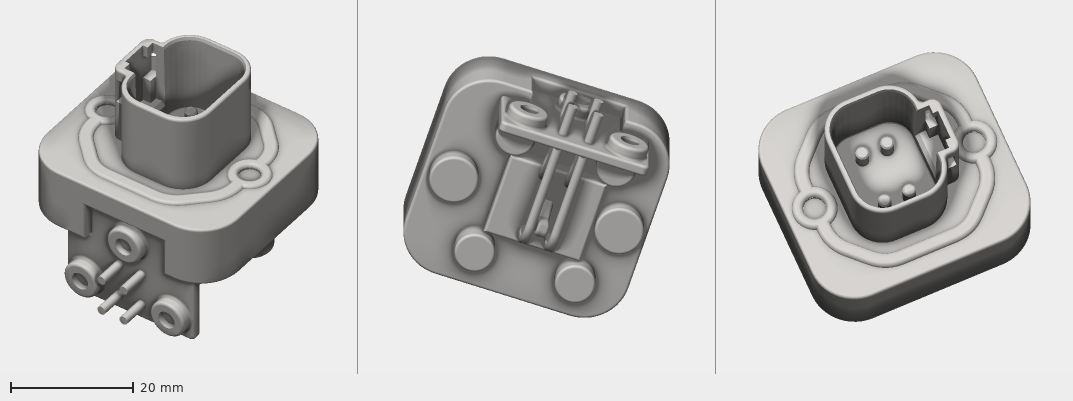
import cadquery as cq
import math

TOTAL_Y = 38.6
TOTAL_Z = 39.5

FLANGE_X = 38.35
FLANGE_Y = 35.3
FLANGE_HEIGHT = 11.57
FLANGE_CORNER = 7.6
EDGE_ROUND = 0.47

PICK = 0.4

AXIS_X = 1.55
SOCKET_TOP = 14.65
SOCKET_X = 16.65
SOCKET_Y = 20.85
SOCKET_CORNER = 5.6
RIM_WALL = 0.83
LEAD_IN = 0.2
LEAD_IN_DEPTH = 0.55
DRAFT = 0.3
FLOOR_BEVEL = 0.15
RIM_ROUND = 0.5
CAVITY_FLOOR = 0.0

KEY_OUTER_X = -9.9
KEY_HALF_WIDTH = 5.05
KEY_CORNER = 1.65
KEY_ROOT_ROUND = 0.7
KEY_FLOOR = 3.15
KEY_FLOOR_END_X = -6.2
KEY_FLOOR_SLOPE = 0.8
KEY_BACK_X = -8.9
KEY_NARROW_HALF = 2.53
KEY_WIDE_HALF = 4.03
KEY_LIP_X = -7.98
KEY_STEP_X = -7.35
WINDOW_BOTTOM = 7.85
WINDOW_TOP = 12.52

BEAD_HALF_X = 15.52
BEAD_HALF_Y = 14.8
BEAD_DIAGONAL = 22.8
BEAD_BEND = 7.65
BEAD_WIDTH = 2.6
BEAD_HEIGHT = 0.6
BEAD_ROUND = 0.83
BEAD_SUNK = 0.8

RING_X = 14.25
RING_RADIUS = 3.8
DIMPLE_RADIUS = 1.85
DIMPLE_FLOOR = -0.4

END_FOOT_RADIUS = 4.03
END_FOOT_LENGTH = 3.12
FOOT_RADIUS = 3.3
FOOT_LENGTH = 4.2
FOOT_Y = 10.65
SLAB_X = 16.6
SLAB_Y = 14.05

PLATE_BACK_Y = -13.95
PLATE_THICKNESS = 1.8
PLATE_CORNER = 0.6
PLATE_FOOT_CORNER = 1.03
PLATE_WIDTH = 25.5
PLATE_TOP = -5.05
PLATE_SHOULDER = -11.93
PLATE_BOTTOM = SOCKET_TOP - TOTAL_Z
NECK_WIDTH = 15.88
SLOT_TOP = -4.55

STUD_RADIUS = 3.35
STUD_END_Y = -17.8
STUD_ROUND = 0.55
STUD_FLARE = 0.45
STUD_HOLE_RADIUS = 1.6
STUD_HOLE_DEPTH = 1.2
STUD_SPREAD = 8.65
UPPER_STUD_Z = -9.4
LOWER_STUD_Z = -20.78

PIN_RADIUS = 0.8
PIN_END_Y = FLANGE_Y / 2 - TOTAL_Y
PIN_BEND = 3.35
PIN_HALF_PITCH_X = 2.2
PIN_HALF_PITCH_Y = 4.5
UPPER_PIN_Z = -15.5
LOWER_PIN_Z = -21.85
CONTACT_RADIUS = 1.1
CONTACT_TOP = 3.55
CONTACT_CHAMFER = 0.28

RIB_THICKNESS = 1.98
RIB_BACK_Y = 3.2
RIB_FRONT_Y = 0.67
RIB_ROOT_Y = -1.58
RIB_SLOPE_END = -16.83
RIB_BOTTOM = -20.95
RIB_CORNER = 1.58
RIB_ROUND = 0.47

FLANGE_BOTTOM = -FLANGE_HEIGHT
FLANGE_FRONT_Y = -FLANGE_Y / 2
PLATE_FRONT_Y = PLATE_BACK_Y - PLATE_THICKNESS
SLAB_BOTTOM = FLANGE_BOTTOM - END_FOOT_LENGTH


def block(x_range, y_range, z_range):
    """Box between two corners."""
    sizes = [high - low for low, high in (x_range, y_range, z_range)]
    corner = (x_range[0], y_range[0], z_range[0])
    return cq.Workplane("XY").box(*sizes, centered=False).translate(corner)


def disc(x, y, radius, bottom, top):
    """Upright cylinder."""
    return cq.Workplane("XY", origin=(x, y, bottom)).circle(radius).extrude(top - bottom)


def flange():
    """Rounded block with the plate slot in its -Y wall."""
    body = cq.Workplane("XY").box(FLANGE_X, FLANGE_Y, FLANGE_HEIGHT, centered=(True, True, False))
    body = body.translate((0, 0, FLANGE_BOTTOM)).edges("|Z").fillet(FLANGE_CORNER)
    slot_left = AXIS_X - NECK_WIDTH / 2
    slot_right = AXIS_X + NECK_WIDTH / 2
    slot = block((slot_left, slot_right), (FLANGE_FRONT_Y, PLATE_BACK_Y), (FLANGE_BOTTOM, SLOT_TOP))
    body = body.cut(slot).faces(">Z").edges().fillet(EDGE_ROUND)
    slot_mouth = cq.selectors.BoxSelector(
        (slot_left - PICK, FLANGE_FRONT_Y - PICK, FLANGE_BOTTOM + PICK),
        (slot_right + PICK, FLANGE_FRONT_Y + PICK, SLOT_TOP + PICK),
    )
    slot_back = cq.selectors.BoxSelector(
        (slot_left - PICK, FLANGE_FRONT_Y + PICK, FLANGE_BOTTOM - PICK),
        (slot_right + PICK, PLATE_BACK_Y + PICK, FLANGE_BOTTOM + PICK),
    )
    lower_edges = body.faces("<Z").edges()
    inner_edges = lower_edges.edges(slot_back).vals()
    outer_edges = [edge for edge in lower_edges.vals() if edge not in inner_edges]
    return body.edges(slot_mouth).add(outer_edges).fillet(EDGE_ROUND)


def bead_loop(inset):
    """Solid eight-sided prism with rounded corners, moved inwards by inset."""
    half_x = BEAD_HALF_X - inset
    half_y = BEAD_HALF_Y - inset
    diagonal = BEAD_DIAGONAL - inset * math.sqrt(2)
    quarter = [(half_x, diagonal - half_x), (diagonal - half_y, half_y)]
    upper = quarter + [(-x, y) for x, y in reversed(quarter)]
    lower = [(-x, -y) for x, y in upper]
    prism = cq.Workplane("XY", origin=(0, 0, -BEAD_SUNK)).polyline(upper + lower).close()
    return prism.extrude(BEAD_SUNK + BEAD_HEIGHT).edges("|Z").fillet(BEAD_BEND - inset)


def seal():
    """Rounded bead loop and the two dimpled rings, sunk into the flange top."""
    bead = bead_loop(0).cut(bead_loop(BEAD_WIDTH)).faces(">Z").edges().fillet(BEAD_ROUND)
    for x in (-RING_X, RING_X):
        bead = bead.cut(disc(x, 0, DIMPLE_RADIUS + BEAD_ROUND, -BEAD_SUNK, BEAD_HEIGHT))
        ring = disc(x, 0, RING_RADIUS, -BEAD_SUNK, BEAD_HEIGHT)
        ring = ring.cut(disc(x, 0, DIMPLE_RADIUS, -BEAD_SUNK, BEAD_HEIGHT))
        bead = bead.union(ring.faces(">Z").edges().fillet(BEAD_ROUND))
    return bead


def dimples():
    """Shallow round pockets inside the rings."""
    pockets = disc(-RING_X, 0, DIMPLE_RADIUS, DIMPLE_FLOOR, BEAD_HEIGHT)
    return pockets.union(disc(RING_X, 0, DIMPLE_RADIUS, DIMPLE_FLOOR, BEAD_HEIGHT))


def socket():
    """Outside of the keyed shell, with a rounded rim."""
    shell = cq.Workplane("XY").box(SOCKET_X, SOCKET_Y, SOCKET_TOP, centered=(True, True, False))
    shell = shell.translate((AXIS_X, 0, 0)).edges("|Z").fillet(SOCKET_CORNER)
    key = block((KEY_OUTER_X, AXIS_X), (-KEY_HALF_WIDTH, KEY_HALF_WIDTH), (0, SOCKET_TOP))
    shell = shell.union(key.edges("|Z and <X").fillet(KEY_CORNER))
    roots = cq.selectors.BoxSelector(
        (KEY_OUTER_X + KEY_CORNER + PICK, -KEY_HALF_WIDTH - PICK, 0),
        (AXIS_X - SOCKET_X / 2 + PICK, KEY_HALF_WIDTH + PICK, SOCKET_TOP),
    )
    shell = shell.edges("|Z").edges(roots).fillet(KEY_ROOT_ROUND)
    return shell.faces(">Z").edges().fillet(RIM_ROUND)


def tapered_opening(wall, narrowing, top, bottom):
    """Rounded prism inside the socket that narrows by the given amount per side towards its bottom."""
    depth = top - bottom
    opening = cq.Sketch().rect(SOCKET_X - 2 * wall, SOCKET_Y - 2 * wall)
    opening = opening.vertices().fillet(SOCKET_CORNER - wall)
    top_plane = cq.Workplane("XY", origin=(AXIS_X, 0, top))
    return top_plane.placeSketch(opening).extrude(-depth, taper=math.degrees(math.atan(narrowing / depth)))


def socket_cavity():
    """Tapered main cavity, stepped key cavity and the window across the key."""
    lead_in = tapered_opening(RIM_WALL, LEAD_IN, SOCKET_TOP, SOCKET_TOP - LEAD_IN_DEPTH)
    cavity = tapered_opening(RIM_WALL + LEAD_IN, DRAFT, SOCKET_TOP - LEAD_IN_DEPTH, CAVITY_FLOOR)
    cavity = cavity.faces("<Z").edges().chamfer(FLOOR_BEVEL).union(lead_in)

    narrow = (-KEY_NARROW_HALF, KEY_NARROW_HALF)
    wide = (-KEY_WIDE_HALF, KEY_WIDE_HALF)
    across = (-KEY_HALF_WIDTH, KEY_HALF_WIDTH)
    cavity = cavity.union(block((KEY_BACK_X, AXIS_X), narrow, (KEY_FLOOR, SOCKET_TOP)))
    sloped_floor = [
        (KEY_STEP_X, KEY_FLOOR),
        (KEY_FLOOR_END_X, KEY_FLOOR),
        (KEY_FLOOR_END_X + KEY_FLOOR_SLOPE, KEY_FLOOR - KEY_FLOOR_SLOPE),
        (AXIS_X, KEY_FLOOR - KEY_FLOOR_SLOPE),
        (AXIS_X, SOCKET_TOP),
        (KEY_STEP_X, SOCKET_TOP),
    ]
    key_cavity = cq.Workplane("XZ").polyline(sloped_floor).close().extrude(KEY_WIDE_HALF, both=True)
    cavity = cavity.union(key_cavity)
    cavity = cavity.union(block((KEY_LIP_X, AXIS_X), wide, (WINDOW_BOTTOM, SOCKET_TOP)))
    return cavity.union(block((KEY_BACK_X, KEY_STEP_X), across, (WINDOW_BOTTOM, WINDOW_TOP)))


def foot(x, y, radius, length):
    """Round foot with a rounded lower edge."""
    return disc(x, y, radius, FLANGE_BOTTOM - length, FLANGE_BOTTOM).faces("<Z").edges().fillet(EDGE_ROUND)


def underside():
    """Slab and six feet below the flange."""
    slab = cq.Workplane("XY").box(SLAB_X, SLAB_Y, END_FOOT_LENGTH, centered=(True, True, False))
    parts = slab.translate((AXIS_X, 0, SLAB_BOTTOM)).edges("<Z").fillet(EDGE_ROUND)
    for side in (-1, 1):
        parts = parts.union(foot(side * RING_X, 0, END_FOOT_RADIUS, END_FOOT_LENGTH))
        for y in (-FOOT_Y, FOOT_Y):
            parts = parts.union(foot(AXIS_X + side * STUD_SPREAD, y, FOOT_RADIUS, FOOT_LENGTH))
    return parts


def cover_plate():
    """T-shaped plate with rounded edges."""
    neck = NECK_WIDTH / 2
    half = PLATE_WIDTH / 2
    right = [(half, PLATE_BOTTOM), (half, PLATE_SHOULDER), (neck, PLATE_SHOULDER), (neck, PLATE_TOP)]
    left = [(-x, z) for x, z in reversed(right)]
    outline = cq.Workplane("XZ", origin=(AXIS_X, PLATE_BACK_Y, 0)).polyline(right + left).close()
    plate = outline.extrude(PLATE_THICKNESS)
    plate = plate.edges("|Y and <Z").fillet(PLATE_FOOT_CORNER)
    upper_edges = cq.selectors.BoxSelector((-half, -FLANGE_Y, PLATE_SHOULDER - PICK), (FLANGE_X, 0, 0))
    plate = plate.edges("|Y").edges(upper_edges).fillet(PLATE_CORNER)
    return plate.faces("|Y").edges().fillet(EDGE_ROUND)


def stud(x, z):
    """Round stud with a flared root, a rounded end and a blind hole."""
    flare_radius = STUD_RADIUS + STUD_FLARE
    length = PLATE_FRONT_Y - STUD_END_Y
    bend = math.sqrt(0.5)
    profile = (
        cq.Workplane("XY")
        .moveTo(0, -STUD_FLARE)
        .lineTo(flare_radius, -STUD_FLARE)
        .lineTo(flare_radius, 0)
        .threePointArc(
            (flare_radius - STUD_FLARE * bend, STUD_FLARE - STUD_FLARE * bend), (STUD_RADIUS, STUD_FLARE)
        )
        .lineTo(STUD_RADIUS, length - STUD_ROUND)
        .threePointArc(
            (STUD_RADIUS - STUD_ROUND * (1 - bend), length - STUD_ROUND * (1 - bend)),
            (STUD_RADIUS - STUD_ROUND, length),
        )
        .lineTo(STUD_HOLE_RADIUS, length)
        .lineTo(STUD_HOLE_RADIUS, length - STUD_HOLE_DEPTH)
        .lineTo(0, length - STUD_HOLE_DEPTH)
        .close()
    )
    turned = profile.revolve(360, (0, 0, 0), (0, 1, 0))
    return turned.rotate((0, 0, 0), (0, 0, 1), 180).translate((x, PLATE_FRONT_Y, z))


def pin(x, y, level):
    """Round pin that leaves the slab downwards and bends to run along -Y at the given level."""
    start = SLAB_BOTTOM + PIN_BEND
    bend = math.sqrt(0.5) * PIN_BEND
    path = (
        cq.Workplane("YZ", origin=(x, 0, 0))
        .moveTo(y, start)
        .lineTo(y, level + PIN_BEND)
        .threePointArc((y - PIN_BEND + bend, level + PIN_BEND - bend), (y - PIN_BEND, level))
        .lineTo(PIN_END_Y, level)
    )
    return cq.Workplane("XY", origin=(x, y, start)).circle(PIN_RADIUS).sweep(path)


def contact(x, y):
    """Straight contact standing on the socket floor."""
    post = disc(x, y, CONTACT_RADIUS, FLANGE_BOTTOM, CONTACT_TOP)
    return post.faces(">Z").edges().chamfer(CONTACT_CHAMFER)


def support_rib():
    """Upright rib below the slab with a sloped root and a rounded lower corner."""
    outline = [
        (RIB_BACK_Y, SLAB_BOTTOM),
        (RIB_ROOT_Y, SLAB_BOTTOM),
        (RIB_FRONT_Y, RIB_SLOPE_END),
        (RIB_FRONT_Y, RIB_BOTTOM),
        (RIB_BACK_Y, RIB_BOTTOM),
    ]
    side_plane = cq.Workplane("YZ", origin=(AXIS_X - RIB_THICKNESS / 2, 0, 0))
    rib = side_plane.polyline(outline).close().extrude(RIB_THICKNESS)
    rib = rib.edges("|X and <Z and >Y").fillet(RIB_CORNER)
    return rib.faces("|X").edges("not >Z").fillet(RIB_ROUND)


result = flange().union(seal()).cut(dimples())
result = result.union(socket()).cut(socket_cavity())
result = result.union(underside()).union(cover_plate()).union(support_rib())
result = result.union(stud(AXIS_X, UPPER_STUD_Z))
for side in (-1, 1):
    result = result.union(stud(AXIS_X + side * STUD_SPREAD, LOWER_STUD_Z))
    for row_y, level in ((PIN_HALF_PITCH_Y, LOWER_PIN_Z), (-PIN_HALF_PITCH_Y, UPPER_PIN_Z)):
        pin_x = AXIS_X + side * PIN_HALF_PITCH_X
        result = result.union(pin(pin_x, row_y, level)).union(contact(pin_x, row_y))